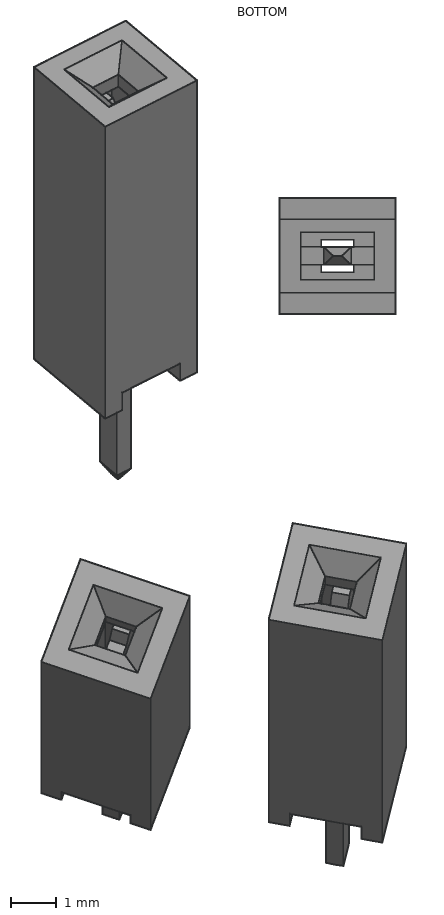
import cadquery as cq


housing_side = 2.54
housing_height = 8.4
mouth_side = 1.6
neck_side = 0.71
funnel_depth = 0.45
neck_depth = 0.35
cavity_length = 1.6
cavity_width = 1.04
slot_width = 1.6
foot_height = 0.5

overall_height = 11.6
contact_thickness = 0.4
pin_width = 0.6
tip_length = 0.35
tip_width = 0.2
tip_thickness = 0.01
fork_gap = 0.32
fork_mouth = 0.66
groove_depth = 0.29
fork_clearance = 0.23

pin_bottom = housing_height - overall_height
pin_shoulder = pin_bottom + tip_length
neck_top = housing_height - funnel_depth
neck_bottom = neck_top - neck_depth
fork_top = neck_bottom - fork_clearance
groove_floor = fork_top - groove_depth


def centered_box(x_size, y_size, bottom, top):
    """Box centred on the socket axis, between two Z levels."""
    return cq.Workplane("XY", origin=(0, 0, bottom)).rect(x_size, y_size).extrude(top - bottom)


def make_housing():
    """Square tower with a funnel mouth, a neck, a contact chamber and a slot under it."""
    body = centered_box(housing_side, housing_side, 0, housing_height)
    funnel = (
        cq.Workplane("XY", origin=(0, 0, housing_height))
        .rect(mouth_side, mouth_side)
        .workplane(offset=-funnel_depth)
        .rect(neck_side, neck_side)
        .loft(ruled=True)
    )
    neck = centered_box(neck_side, neck_side, neck_bottom, neck_top)
    cavity = centered_box(cavity_length, cavity_width, foot_height, neck_bottom)
    standoff_slot = centered_box(housing_side, slot_width, 0, foot_height)
    return body.cut(funnel).cut(neck).cut(cavity).cut(standoff_slot)


def make_contact():
    """Flat forked contact that fills the chamber along X, with a pointed pin below."""
    blade = centered_box(cavity_length, contact_thickness, foot_height, fork_top)
    groove = (
        cq.Workplane("XZ")
        .moveTo(-fork_gap / 2, groove_floor)
        .lineTo(fork_gap / 2, groove_floor)
        .lineTo(fork_mouth / 2, fork_top)
        .lineTo(-fork_mouth / 2, fork_top)
        .close()
        .extrude(contact_thickness, both=True)
    )
    pin = centered_box(pin_width, contact_thickness, pin_shoulder, foot_height)
    tip = (
        cq.Workplane("XY", origin=(0, 0, pin_shoulder))
        .rect(pin_width, contact_thickness)
        .workplane(offset=-tip_length)
        .rect(tip_width, tip_thickness)
        .loft(ruled=True)
    )
    return blade.cut(groove).union(pin).union(tip)


housing = make_housing()
contact = make_contact()

result = cq.Compound.makeCompound([housing.val(), contact.val()])